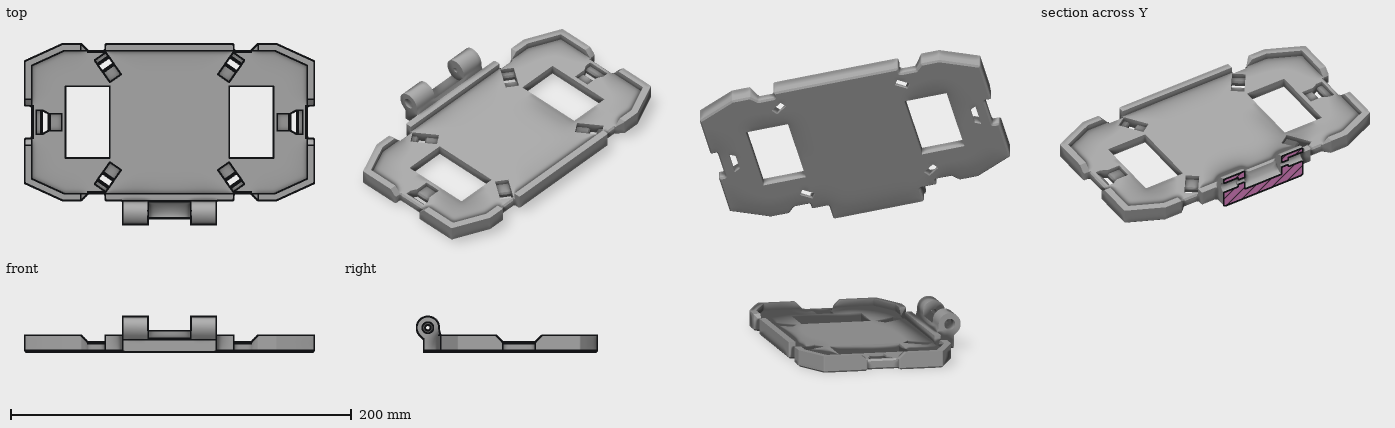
import cadquery as cq
import math

tray_length = 170.0
tray_width = 92.0
rim_top = 10.0
floor_top = 6.0
rim_thickness = 4.1
corner_cut_y = 10.15
corner_angle = 24.5
edge_radius = 1.0
edge_chamfer = 1.0

side_notch_half_width = 9.5
long_notch_inner_x = 37.8
long_notch_corner_x = 47.7
long_notch_ramp_x = 48.0

window_inner_x = 35.2
window_outer_x = 60.9
window_width = 42.0

clip_pad_top = 3.0
clip_ledge = 2.6
clip_bevel = 1.0
end_clip_outer_x = 78.3
end_clip_length = 15.05
end_clip_gap = 3.6
end_clip_outer_width = 14.0
end_clip_inner_width = 10.0
corner_clip_x = 36.2
corner_clip_y = 32.2
corner_clip_angle = 55.0
corner_clip_length = 15.7
corner_clip_gap = 4.2
corner_clip_width = 8.0

hinge_half_length = 27.5
knuckle_inner_x = 12.5
knuckle_radius = 6.65
barrel_front_y = -60.19
barrel_top = 21.0
hinge_y = barrel_front_y + knuckle_radius
hinge_z = barrel_top - knuckle_radius
tab_front_y = -56.0
mating_clearance_radius = 7.0
pin_diameter = 3.1
pin_head_diameter = 6.5
pin_head_depth = 10.0

half_length = tray_length / 2
half_width = tray_width / 2
inner_half_length = half_length - rim_thickness
inner_half_width = half_width - rim_thickness
corner_cut_x = corner_cut_y / math.tan(math.radians(corner_angle))
window_length = window_outer_x - window_inner_x
hinge_length = 2 * hinge_half_length
sides = (-1, 1)


def mirror_four_ways(shape):
    """Return the shape together with its mirror images in X and in Y."""
    both = shape.union(shape.mirror("YZ"))
    return both.union(both.mirror("XZ"))


def cut_corner_plate(half_x, half_y, cut_x, cut_y, bottom, top):
    """Rectangular plate with its four corners cut off at a slant."""
    quarter = [(half_x, half_y - cut_y), (half_x - cut_x, half_y)]
    points = quarter + [(-x, y) for x, y in reversed(quarter)]
    points += [(-x, -y) for x, y in points]
    return cq.Workplane("XY", origin=(0, 0, bottom)).polyline(points).close().extrude(top - bottom)


def make_body():
    """Full-height outline with notches and hinge tab, edges rounded and bottom edge chamfered."""
    body = cut_corner_plate(half_length, half_width, corner_cut_x, corner_cut_y, 0, rim_top)
    long_notch = (
        cq.Workplane("XY")
        .polyline([
            (long_notch_inner_x, half_width),
            (long_notch_inner_x, inner_half_width),
            (long_notch_corner_x, inner_half_width),
            (long_notch_corner_x + rim_thickness, half_width),
        ])
        .close()
        .extrude(rim_top)
    )
    body = body.cut(mirror_four_ways(long_notch))
    for side in sides:
        body = body.cut(
            cq.Workplane("XY")
            .center(side * (half_length - rim_thickness / 2), 0)
            .rect(rim_thickness, 2 * side_notch_half_width)
            .extrude(rim_top)
        )
    tab_depth = -tab_front_y
    body = body.union(
        cq.Workplane("XY").center(0, -tab_depth / 2).rect(hinge_length, tab_depth).extrude(rim_top)
    )
    tab_front = cq.selectors.BoxSelector(
        (-half_length, tab_front_y - edge_radius, -edge_radius),
        (half_length, tab_front_y + edge_radius, rim_top + edge_radius),
    )
    body = body.edges(cq.StringSyntaxSelector("|Z") - tab_front).fillet(edge_radius)
    return body.edges(cq.StringSyntaxSelector("<Z") - tab_front).chamfer(edge_chamfer)


def make_hinge():
    """Barrel running the hinge length, blended down into the tab and the rim."""
    leg = knuckle_radius * math.sqrt(0.5)
    under_y = hinge_y - leg
    under_z = hinge_z - leg
    under_foot_z = under_z - (tab_front_y - under_y)
    back_y = hinge_y + knuckle_radius
    blend_rise = hinge_z - rim_top
    blend_run = -half_width - back_y
    blend_radius = (blend_rise ** 2 + blend_run ** 2) / (2 * blend_run)
    blend_mid_z = hinge_z - blend_rise / 2
    blend_mid_y = back_y + blend_radius - math.sqrt(blend_radius ** 2 - (blend_rise / 2) ** 2)
    return (
        cq.Workplane("YZ", origin=(-hinge_half_length, 0, 0))
        .moveTo(-half_width, under_foot_z)
        .lineTo(tab_front_y, under_foot_z)
        .lineTo(under_y, under_z)
        .threePointArc((hinge_y - leg, hinge_z + leg), (hinge_y, hinge_z + knuckle_radius))
        .threePointArc((hinge_y + leg, hinge_z + leg), (back_y, hinge_z))
        .threePointArc((blend_mid_y, blend_mid_z), (-half_width, rim_top))
        .close()
        .extrude(hinge_length)
    )


def hinge_cylinder(radius, start_x, end_x):
    """Cylinder on the hinge axis."""
    return (
        cq.Workplane("YZ", origin=(start_x, 0, 0))
        .center(hinge_y, hinge_z)
        .circle(radius)
        .extrude(end_x - start_x)
    )


def make_rim_gaps():
    """Openings in the rim above the floor, with sloping ends."""
    rise = rim_top - floor_top
    long_gap = (
        cq.Workplane("XZ", origin=(0, half_width, 0))
        .polyline([
            (long_notch_inner_x, rim_top),
            (long_notch_inner_x, floor_top),
            (long_notch_ramp_x, floor_top),
            (long_notch_ramp_x + rise, rim_top),
        ])
        .close()
        .extrude(rim_thickness)
    )
    side_gaps = (
        cq.Workplane("YZ", origin=(-half_length, 0, 0))
        .polyline([
            (-side_notch_half_width - rise, rim_top),
            (-side_notch_half_width, floor_top),
            (side_notch_half_width, floor_top),
            (side_notch_half_width + rise, rim_top),
        ])
        .close()
        .extrude(tray_length)
    )
    return mirror_four_ways(long_gap).union(side_gaps)


def make_notch_chamfers():
    """Triangular bars that bevel the floor edge along each notch."""
    def bevel(plane, origin, wall, length):
        return (
            cq.Workplane(plane, origin=origin)
            .polyline([
                (wall, floor_top - edge_chamfer),
                (wall, floor_top),
                (wall - edge_chamfer, floor_top),
            ])
            .close()
            .extrude(length)
        )

    long_length = long_notch_ramp_x - long_notch_inner_x
    long_bevel = bevel("YZ", (long_notch_inner_x, 0, 0), inner_half_width, long_length)
    side_start = (0, side_notch_half_width, 0)
    side_bevel = bevel("XZ", side_start, inner_half_length, 2 * side_notch_half_width)
    return mirror_four_ways(long_bevel).union(side_bevel).union(side_bevel.mirror("YZ"))


def make_clip_slot(length, gap, outer_width, inner_width):
    """Slot cutter starting at x = 0 on its outer end and running along +X."""
    gap_start = clip_ledge + clip_bevel
    gap_end = gap_start + gap
    outline = (
        cq.Workplane("XY")
        .polyline([
            (0, -outer_width / 2),
            (gap_start, -outer_width / 2),
            (gap_end, -inner_width / 2),
            (length, -inner_width / 2),
            (length, inner_width / 2),
            (gap_end, inner_width / 2),
            (gap_start, outer_width / 2),
            (0, outer_width / 2),
        ])
        .close()
        .extrude(floor_top)
    )
    section = (
        cq.Workplane("XZ", origin=(0, outer_width / 2, 0))
        .polyline([
            (0, floor_top),
            (0, clip_pad_top),
            (clip_ledge, clip_pad_top),
            (gap_start, clip_pad_top - clip_bevel),
            (gap_start, 0),
            (gap_end, 0),
            (gap_end, clip_pad_top - clip_bevel),
            (gap_end + clip_bevel, clip_pad_top),
            (length, clip_pad_top),
            (length, floor_top),
        ])
        .close()
        .extrude(outer_width)
    )
    return outline.intersect(section)


def make_clip_slots():
    """Two slots at the X ends and four slanted ones near the long notches."""
    end_slot = make_clip_slot(
        end_clip_length, end_clip_gap, end_clip_outer_width, end_clip_inner_width
    ).translate((-end_clip_outer_x, 0, 0))
    corner_slot = (
        make_clip_slot(corner_clip_length, corner_clip_gap, corner_clip_width, corner_clip_width)
        .translate((-corner_clip_length / 2, 0, 0))
        .rotate((0, 0, 0), (0, 0, 1), corner_clip_angle)
        .translate((-corner_clip_x, -corner_clip_y, 0))
    )
    return mirror_four_ways(corner_slot).union(end_slot).union(end_slot.mirror("YZ"))


def make_windows():
    """Two rectangular windows through the floor."""
    centre_x = window_inner_x + window_length / 2
    return (
        cq.Workplane("XY")
        .pushPoints([(side * centre_x, 0) for side in sides])
        .rect(window_length, window_width)
        .extrude(floor_top)
    )


def make_pocket():
    """Tray interior: the outline moved inwards by the rim thickness."""
    slant_shift = rim_thickness * math.tan(math.radians(corner_angle / 2))
    inner_cut_x = corner_cut_x - rim_thickness + slant_shift
    inner_cut_y = inner_cut_x * math.tan(math.radians(corner_angle))
    return cut_corner_plate(
        inner_half_length, inner_half_width, inner_cut_x, inner_cut_y, floor_top, rim_top
    )


def cut_pin_holes(part):
    """Pin hole along the hinge axis, widened at both outer ends for the pin heads."""
    part = part.cut(hinge_cylinder(pin_diameter / 2, -hinge_half_length, hinge_half_length))
    for side in sides:
        outer = side * hinge_half_length
        inner = side * (hinge_half_length - pin_head_depth)
        part = part.cut(hinge_cylinder(pin_head_diameter / 2, min(outer, inner), max(outer, inner)))
    return part


result = make_body().union(make_hinge())
result = result.cut(make_pocket())
result = result.cut(make_rim_gaps())
result = result.cut(make_notch_chamfers())
result = result.cut(make_windows())
result = result.cut(make_clip_slots())
result = result.cut(hinge_cylinder(mating_clearance_radius, -knuckle_inner_x, knuckle_inner_x))
result = cut_pin_holes(result)